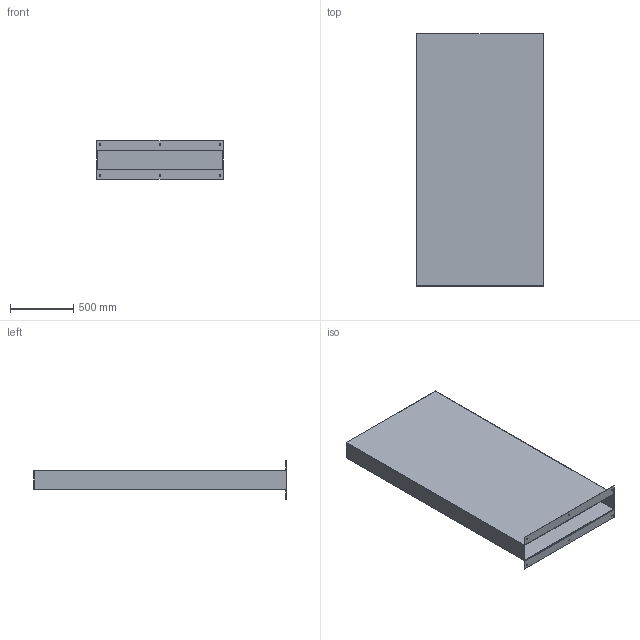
import cadquery as cq

length_x = 1000.0
depth_y = 2000.0
height_z = 306.0

sheet = 3.0
box_height = 150.0
bend_inner_radius = 3.0
bend_outer_radius = bend_inner_radius + sheet

hole_diameter = 10.0
hole_edge_offset_x = 25.0
hole_edge_offset_z = 30.0
hole_x = length_x / 2 - hole_edge_offset_x
hole_z = height_z / 2 - hole_edge_offset_z

front_y = -depth_y / 2


def make_box():
    """Closed-back rectangular duct with constant wall thickness."""
    outer = cq.Workplane("XY").box(length_x, depth_y, box_height)
    cavity = (
        cq.Workplane("XY")
        .box(length_x - 2 * sheet, depth_y - sheet, box_height - 2 * sheet)
        .translate((0, -sheet / 2, 0))
    )
    return outer.cut(cavity)


def make_flange(side):
    """Front flange bent away from the top (side = 1) or bottom (side = -1) panel."""
    inner_z = box_height / 2 - sheet
    outer_z = height_z / 2
    return (
        cq.Workplane("XY")
        .box(length_x, sheet, outer_z - inner_z)
        .translate((0, front_y + sheet / 2, side * (inner_z + outer_z) / 2))
    )


def round_bends(body):
    """Round the outer and inner faces of the two bends between panels and flanges."""
    mouth_z = box_height / 2 - sheet
    for side in (1, -1):
        for y, z, radius in (
            (front_y, mouth_z, bend_outer_radius),
            (front_y + sheet, mouth_z + sheet, bend_inner_radius),
        ):
            nearest = cq.selectors.NearestToPointSelector((0, y, side * z))
            body = body.edges("|X").edges(nearest).fillet(radius)
    return body


def drill_mounting_holes(body):
    """Drill three holes through each flange."""
    centres = [(x, z) for x in (-hole_x, 0, hole_x) for z in (-hole_z, hole_z)]
    drills = (
        cq.Workplane("XZ", origin=(0, front_y + sheet, 0))
        .pushPoints(centres)
        .circle(hole_diameter / 2)
        .extrude(sheet)
    )
    return body.cut(drills)


body = make_box().union(make_flange(1)).union(make_flange(-1))
result = drill_mounting_holes(round_bends(body))